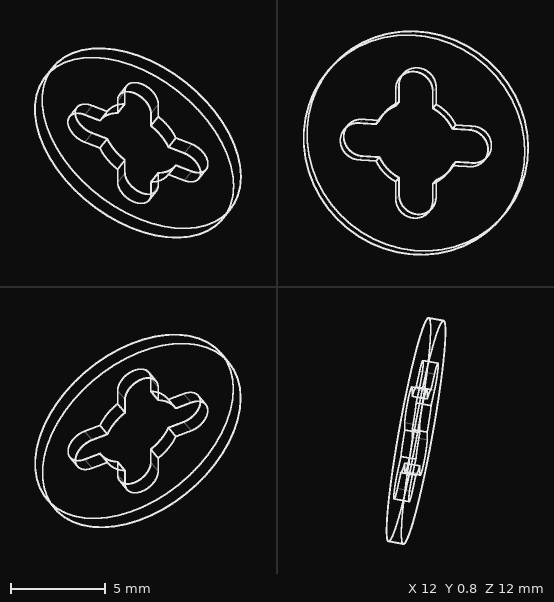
import cadquery as cq

outer_diameter = 12.0
thickness = 0.8
bore_diameter = 4.6
slot_length = 8.0
slot_width = 2.0
slot_angles = (0, 90)


def back_face():
    """Sketch plane on the +Y face; extrusions run toward -Y."""
    return cq.Workplane("XZ", origin=(0, thickness / 2, 0))


def disc(diameter):
    """Disc through the full thickness, with its axis along Y."""
    return back_face().circle(diameter / 2).extrude(thickness)


def slot(angle):
    """Round-ended slot through the centre, turned about the Y axis."""
    return back_face().slot2D(slot_length, slot_width, angle).extrude(thickness)


result = disc(outer_diameter).cut(disc(bore_diameter))
for angle in slot_angles:
    result = result.cut(slot(angle))